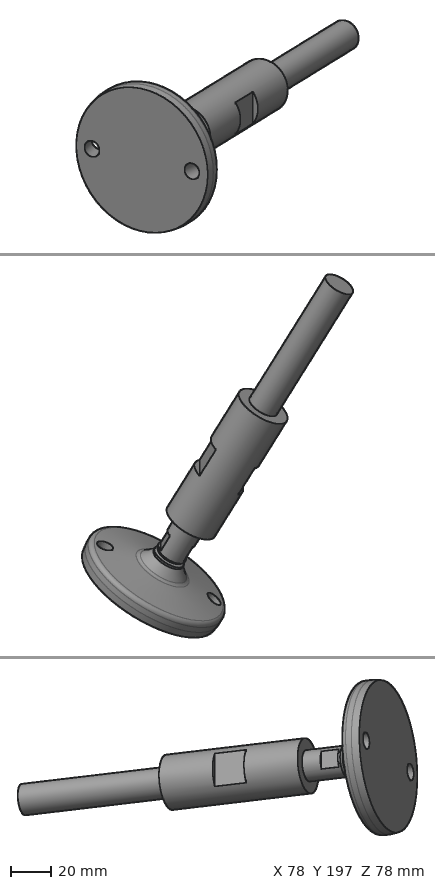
import cadquery as cq
import math

total_length = 197.0

foot_radius = 78.0 / 2
underside_radius = 38.5
taper_height = 4.1
rim_height = 7.3
shoulder_radius = 36.8
shoulder_height = 9.8
hub_base_radius = 14.0
hub_base_height = 14.0
collar_radius = 8.5
collar_base = 19.7
collar_top = 20.9
lip_radius = 6.9
lip_top = 21.7
hub_fillet = 3.5

hole_diameter = 8.5
hole_offset = 29.2
hole_reach = 19.7

spindle_radius = 16.0 / 2
neck_radius = 6.5
socket_floor = 15.8
neck_top = 22.0
spindle_shoulder = 22.9
spindle_flat_start = 24.0
spindle_flat_end = 33.5
spindle_across_flats = 13.0

sleeve_radius = 28.0 / 2
sleeve_start = 43.3
sleeve_length = 74.9
sleeve_flat_length = 17.0
sleeve_across_flats = 22.0


def revolve_about_y(outline):
    return outline.close().revolve(360, (0, 0, 0), (0, 1, 0))


def cylinder_y(radius, start, end):
    """Cylinder on the Y axis between two heights."""
    return cq.Workplane("XZ", origin=(0, start, 0)).circle(radius).extrude(start - end)


def cut_flats(body, radius, across_flats, start, end):
    """Cut a pair of wrench flats facing -X and +X."""
    depth = radius - across_flats / 2
    for side in (-1, 1):
        center = (side * (across_flats / 2 + depth), (start + end) / 2, 0)
        body = body.cut(cq.Workplane(origin=center).box(2 * depth, end - start, 2 * radius))
    return body


def make_foot():
    run = foot_radius - shoulder_radius
    rise = shoulder_height - rim_height
    round_radius = (run**2 + rise**2) / (2 * run)
    half_sweep = math.asin(rise / round_radius) / 2
    round_middle = (
        foot_radius - round_radius * (1 - math.cos(half_sweep)),
        rim_height + round_radius * math.sin(half_sweep),
    )
    foot = revolve_about_y(
        cq.Workplane("XY")
        .lineTo(underside_radius, 0)
        .lineTo(foot_radius, taper_height)
        .lineTo(foot_radius, rim_height)
        .threePointArc(round_middle, (shoulder_radius, shoulder_height))
        .lineTo(hub_base_radius, hub_base_height)
        .lineTo(collar_radius, collar_base)
        .lineTo(collar_radius, collar_top)
        .lineTo(lip_radius, lip_top)
        .lineTo(0, lip_top)
    )
    blend_zone = cq.selectors.BoxSelector(
        (-foot_radius, hub_base_height - 0.2, -foot_radius),
        (foot_radius, hub_base_height + 0.2, foot_radius),
    )
    foot = foot.edges(blend_zone).fillet(hub_fillet)
    foot = foot.cut(cylinder_y(neck_radius, socket_floor, lip_top))

    lean = math.atan2(hub_base_height - shoulder_height, shoulder_radius - hub_base_radius)
    for side in (-1, 1):
        axis = cq.Vector(side * math.sin(lean), math.cos(lean), 0)
        start = cq.Vector(side * hole_offset, 0, 0) - axis * (hole_reach / 2)
        drill = cq.Solid.makeCylinder(hole_diameter / 2, 2 * hole_reach, start, axis)
        foot = foot.cut(cq.Workplane(drill))
    return foot


def make_spindle():
    spindle = revolve_about_y(
        cq.Workplane("XY")
        .moveTo(0, socket_floor)
        .lineTo(neck_radius, socket_floor)
        .lineTo(neck_radius, neck_top)
        .lineTo(spindle_radius, spindle_shoulder)
        .lineTo(spindle_radius, total_length)
        .lineTo(0, total_length)
    )
    return cut_flats(spindle, spindle_radius, spindle_across_flats, spindle_flat_start, spindle_flat_end)


def make_sleeve():
    sleeve_end = sleeve_start + sleeve_length
    sleeve_middle = (sleeve_start + sleeve_end) / 2
    sleeve = cylinder_y(sleeve_radius, sleeve_start, sleeve_end)
    sleeve = cut_flats(
        sleeve,
        sleeve_radius,
        sleeve_across_flats,
        sleeve_middle - sleeve_flat_length / 2,
        sleeve_middle + sleeve_flat_length / 2,
    )
    return sleeve.cut(cylinder_y(spindle_radius, sleeve_start, sleeve_end))


foot = make_foot()
spindle = make_spindle()
sleeve = make_sleeve()

result = cq.Compound.makeCompound([foot.val(), spindle.val(), sleeve.val()])